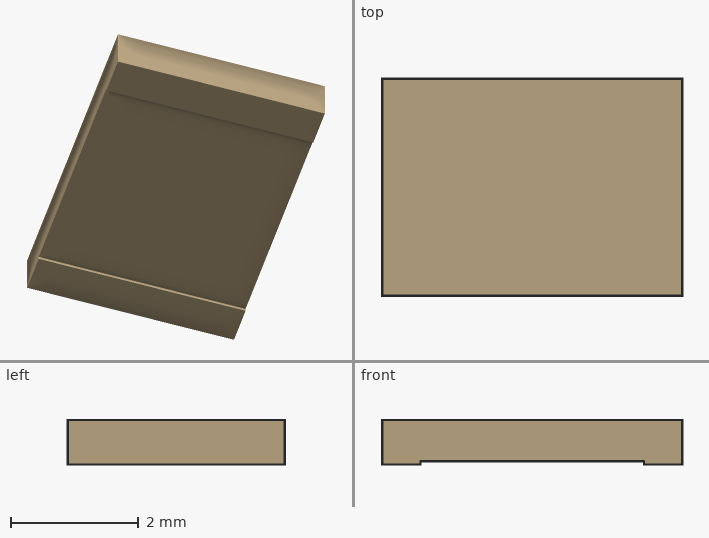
import cadquery as cq

length = 4.7
width = 3.4
height = 0.7

plating = 0.05
terminal_reach = 0.6

core_length = length - 2 * plating
core_height = height - 2 * plating
coating_length = length - 2 * terminal_reach


def centered_box(x_size, z_size):
    """Full-width block centred on the origin."""
    return cq.Workplane("XY").box(x_size, width, z_size)


def make_terminal(side):
    """C-shaped end cap on the -X (side = -1) or +X (side = 1) end."""
    center_x = side * (length - terminal_reach) / 2
    block = centered_box(terminal_reach, height).translate((center_x, 0, 0))
    return block.cut(core)


core = centered_box(core_length, core_height)
coating = centered_box(coating_length, plating).translate((0, 0, (height - plating) / 2))

result = core.union(coating, clean=False)
for side in (-1, 1):
    result = result.union(make_terminal(side), clean=False)